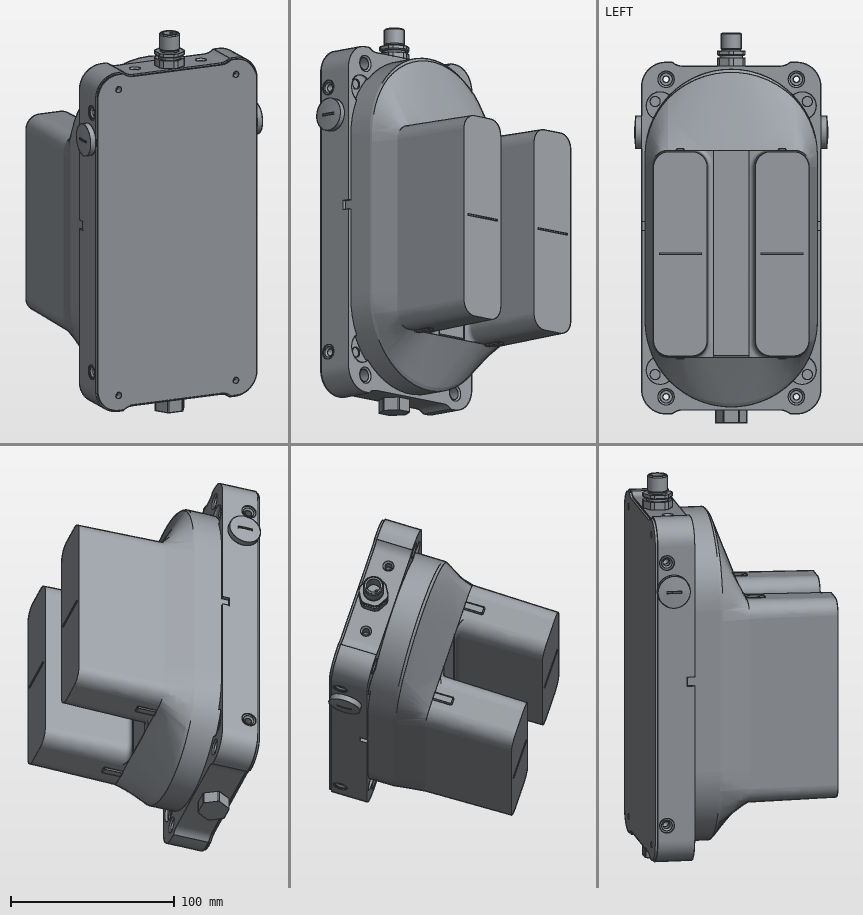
import cadquery as cq
import math


PLATE_FRONT = 24.5
PLATE_MID_Z = -6.2
PLATE_HALF_W = 55.0
PLATE_HALF_H = 108.0
LIP_DEPTH = 1.5
LIP_INSET = 1.0
EAR_RADIUS = 15.0
EAR_RISE = 2.5
EAR_HOLLOW_RADIUS = 9.5
EAR_HOLLOW_END = 30.0
EDGE_HALF_H = PLATE_HALF_H - EAR_RISE

SEAT_DEPTH = 4.5

MOUNT_Y = PLATE_HALF_W - EAR_RADIUS
MOUNT_HALF_PITCH = 97.4
MOUNT_RIM_R = 5.0
MOUNT_RIM_DEPTH = 1.0
MOUNT_BORE_R = 3.8
MOUNT_BORE_DEPTH = 19.1
MOUNT_HOLE_R = 2.0

POCKET_Y = 43.5
POCKET_HALF_PITCH = 81.0
POCKET_R = 8.5
POCKET_DEPTH = 1.5
POCKET_ROUND = 0.7
POCKET_HOLE_Y = 46.7
POCKET_HOLE_HALF_PITCH = 83.7
POCKET_HOLE_R = 3.0
POCKET_HOLE_DEPTH = 1.0

PRY_SLOT_Z = 1.2
PRY_SLOT_W = 5.7

THREAD_R = 2.2
THREAD_DEPTH = 7.2
THREAD_SINK_R = 3.3
THREAD_SINK_DEPTH = 1.2
TOP_THREAD_X = -13.5
TOP_THREAD_Y = 22.5
SIDE_THREAD_X = -7.2
SIDE_THREAD_HALF_PITCH = 82.5
SPOT_R = 4.5
SPOT_DEPTH = 0.7

FITTING_X = -11.0

SIDE_PLUG_Z = 58.5
SIDE_PLUG_R = 10.0
SIDE_PLUG_RIM_Y = 58.5
OVERALL_WIDTH = 119.0
SIDE_PLUG_TOP_Y = OVERALL_WIDTH / 2
COIN_SLOT_LENGTH = 9.0
COIN_SLOT_W = 1.2
COIN_SLOT_DEPTH = 1.2

BOTTOM_Z = -119.6
BOTTOM_PLUG_FLATS = 17.0
BOTTOM_PLUG_ROUND_R = 9.5

TOP_Z = 119.6
NUT_FLATS = 17.0
NUT_ROUND_R = 9.0
NUT_TOP_Z = 104.0
FLANGE_BOTTOM_Z = 105.7
FLANGE_TOP_Z = 108.4
FLANGE_CHAMFER = 0.7
NECK_R = 7.0
GROOVE_R = 5.7
BARREL_BOTTOM_Z = 110.0
BARREL_R = 6.2
BARREL_CHAMFER = 0.7
SOCKET_R = 4.3
SOCKET_DEPTH = 9.5
KEY_WIDTH = 1.5
KEY_HEIGHT = 1.2
KEY_ANGLE = 135

DOME_RADIUS = 52.9
DOME_HALF_STRAIGHT = 50.7
SHOULDER_BACK = 40.7
SHOULDER_FRONT = 42.3
SHOULDER_END_INSET = 2.0
SHOULDER_SIDE_INSET = 0.2
FORK_ROOT = 59.8
FORK_TIP = 115.0
FORK_TOP_Z = 47.5
FORK_BOTTOM_Z = -79.5
FORK_OUTER_Y = 48.5
FORK_INNER_Y = 13.9
FORK_CORNER_R = 10.0
FORK_TAPER = 1.0
FOOT_ROUND = 2.9
FOOT_SLAB_MARGIN = 2 * FOOT_ROUND
RECESS_DEPTH = 0.7
RECESS_MARGIN = 0.2
RECESS_SLOPE = 1.0
FORK_MID_Y = (FORK_OUTER_Y + FORK_INNER_Y) / 2
FORK_MID_Z = (FORK_TOP_Z + FORK_BOTTOM_Z) / 2
FORK_WIDTH = FORK_OUTER_Y - FORK_INNER_Y
FORK_HEIGHT = FORK_TOP_Z - FORK_BOTTOM_Z

MARK_LENGTH = 25.8
MARK_WIDTH = 1.0
MARK_HEIGHT = 0.5

LUG_LENGTH = 12.5
LUG_WIDTH = 5.3
LUG_HEIGHT = 1.0
LUG_CHAMFER = 0.7

ARC_MID = math.sqrt(0.5)


def plane_at(depth, mid_z=PLATE_MID_Z):
    """YZ workplane at a distance in front of the back face, with its normal toward the back."""
    return cq.Workplane("YZ", origin=(-depth, 0, mid_z))


def four_points(y, half_pitch):
    return [(sy * y, sz * half_pitch) for sy in (-1, 1) for sz in (-1, 1)]


def turned(profile):
    """Solid of revolution about local Z from (radius, height) points."""
    return cq.Workplane("XZ").polyline(profile).close().revolve(360, (0, 0), (0, 1)).val()


def turned_at(workplane, points, profile):
    solid = turned(profile)
    return workplane.pushPoints(points).eachpoint(lambda place: solid.moved(place), True)


def dome_outline(depth):
    """Upright slot shape shared by the wall of the cover and its seat in the base."""
    return plane_at(depth).slot2D(2 * (DOME_HALF_STRAIGHT + DOME_RADIUS), 2 * DOME_RADIUS, 90)


def plate_outline(depth):
    ear_z = PLATE_HALF_H - EAR_RADIUS
    hollow_angle = math.acos(1 - EAR_RISE / EAR_HOLLOW_RADIUS)

    def hollow(angle):
        y = EAR_HOLLOW_END + EAR_HOLLOW_RADIUS * math.sin(angle)
        z = EDGE_HALF_H + EAR_HOLLOW_RADIUS * (1 - math.cos(angle))
        return (y, z)

    ear_middle = (MOUNT_Y + EAR_RADIUS * ARC_MID, ear_z + EAR_RADIUS * ARC_MID)
    return (
        plane_at(depth)
        .moveTo(PLATE_HALF_W, 0)
        .lineTo(PLATE_HALF_W, ear_z)
        .threePointArc(ear_middle, (MOUNT_Y, PLATE_HALF_H))
        .lineTo(*hollow(hollow_angle))
        .threePointArc(hollow(hollow_angle / 2), hollow(0))
        .lineTo(0, EDGE_HALF_H)
        .mirrorX()
        .mirrorY()
    )


def plate():
    body = plate_outline(PLATE_FRONT).extrude(PLATE_FRONT - LIP_DEPTH)
    lip = plate_outline(LIP_DEPTH).offset2D(-LIP_INSET).extrude(LIP_DEPTH)
    return body.union(lip)


def mount_holes():
    """Stepped through holes in the ears, with a countersunk rim."""
    profile = [
        (0, 0),
        (MOUNT_RIM_R, 0),
        (MOUNT_BORE_R, MOUNT_RIM_DEPTH),
        (MOUNT_BORE_R, MOUNT_BORE_DEPTH),
        (MOUNT_HOLE_R, MOUNT_BORE_DEPTH),
        (MOUNT_HOLE_R, PLATE_FRONT),
        (0, PLATE_FRONT),
    ]
    return turned_at(plane_at(PLATE_FRONT), four_points(MOUNT_Y, MOUNT_HALF_PITCH), profile)


def corner_pockets():
    """Shallow round pockets beside the cover, each with a blind hole in its floor."""
    pockets = (
        plane_at(PLATE_FRONT)
        .pushPoints(four_points(POCKET_Y, POCKET_HALF_PITCH))
        .circle(POCKET_R)
        .extrude(POCKET_DEPTH)
        .faces(">X")
        .edges()
        .fillet(POCKET_ROUND)
    )
    holes = (
        plane_at(PLATE_FRONT)
        .pushPoints(four_points(POCKET_HOLE_Y, POCKET_HOLE_HALF_PITCH))
        .circle(POCKET_HOLE_R)
        .extrude(POCKET_DEPTH + POCKET_HOLE_DEPTH)
    )
    return pockets.union(holes)


def cover_seat():
    """Recess in the front face that takes the foot of the cover."""
    return dome_outline(PLATE_FRONT).extrude(SEAT_DEPTH)


def pry_slots():
    """Notches for lifting the cover, from each side edge of the plate up to the cover."""
    width = PLATE_HALF_W - DOME_RADIUS
    middle_y = PLATE_HALF_W - width / 2
    return (
        plane_at(PLATE_FRONT, PRY_SLOT_Z)
        .pushPoints([(-middle_y, 0), (middle_y, 0)])
        .rect(width, PRY_SLOT_W)
        .extrude(SEAT_DEPTH)
    )


def thread_profile(start):
    """Countersunk blind hole with a conical end, beginning at a depth below the surface."""
    sink_end = start + THREAD_SINK_DEPTH
    return [
        (THREAD_SINK_R, start),
        (THREAD_R, sink_end),
        (THREAD_R, THREAD_DEPTH),
        (0, THREAD_DEPTH + THREAD_R),
    ]


def top_threads():
    surface = cq.Plane((TOP_THREAD_X, 0, PLATE_MID_Z + EDGE_HALF_H), xDir=(0, 1, 0), normal=(0, 0, -1))
    points = [(-TOP_THREAD_Y, 0), (TOP_THREAD_Y, 0)]
    return turned_at(cq.Workplane(surface), points, [(0, 0)] + thread_profile(0))


def side_threads(side):
    surface = cq.Plane(
        (SIDE_THREAD_X, side * PLATE_HALF_W, PLATE_MID_Z), xDir=(0, 0, 1), normal=(0, -side, 0)
    )
    points = [(-SIDE_THREAD_HALF_PITCH, 0), (SIDE_THREAD_HALF_PITCH, 0)]
    profile = [(0, 0), (SPOT_R, 0), (SPOT_R, SPOT_DEPTH)] + thread_profile(SPOT_DEPTH)
    return turned_at(cq.Workplane(surface), points, profile)


def side_plug(side):
    """Low round plug with a domed, slotted head."""
    seat = cq.Plane(
        (FITTING_X, side * PLATE_HALF_W, SIDE_PLUG_Z), xDir=(1, 0, 0), normal=(0, side, 0)
    )
    rim_height = SIDE_PLUG_RIM_Y - PLATE_HALF_W
    height = SIDE_PLUG_TOP_Y - PLATE_HALF_W
    dome_radius = (SIDE_PLUG_R**2 + (height - rim_height) ** 2) / (2 * (height - rim_height))
    dome = cq.Workplane(seat).workplane(offset=height - dome_radius).sphere(dome_radius)
    slot = (
        cq.Workplane(seat)
        .workplane(offset=height - COIN_SLOT_DEPTH)
        .rect(COIN_SLOT_LENGTH, COIN_SLOT_W)
        .extrude(COIN_SLOT_DEPTH)
    )
    return cq.Workplane(seat).circle(SIDE_PLUG_R).extrude(height).intersect(dome).cut(slot)


def rounded_hexagon(z, flats, round_radius, height, across_y):
    """Hexagon prism with its corners turned down; its flats face along Y or along X."""
    prism = cq.Workplane("XY").polygon(6, flats / math.cos(math.pi / 6)).extrude(height)
    if not across_y:
        prism = prism.rotate((0, 0, 0), (0, 0, 1), 90)
    cylinder = cq.Workplane("XY").circle(round_radius).extrude(height)
    return prism.intersect(cylinder).translate((FITTING_X, 0, z))


def bottom_plug():
    height = PLATE_MID_Z - EDGE_HALF_H - BOTTOM_Z
    return rounded_hexagon(BOTTOM_Z, BOTTOM_PLUG_FLATS, BOTTOM_PLUG_ROUND_R, height, False)


def connector():
    """Round socket on a hexagonal nut, with a hexagonal flange between them."""
    seat_z = PLATE_MID_Z + EDGE_HALF_H
    nut = rounded_hexagon(seat_z, NUT_FLATS, NUT_ROUND_R, NUT_TOP_Z - seat_z, True)
    flange = rounded_hexagon(
        FLANGE_BOTTOM_Z, NUT_FLATS, NUT_ROUND_R, FLANGE_TOP_Z - FLANGE_BOTTOM_Z, True
    )
    flange = flange.faces("<Z").edges().chamfer(FLANGE_CHAMFER)
    stem = cq.Workplane(
        turned(
            [
                (0, seat_z),
                (NECK_R, seat_z),
                (NECK_R, FLANGE_BOTTOM_Z),
                (GROOVE_R, FLANGE_BOTTOM_Z),
                (GROOVE_R, BARREL_BOTTOM_Z - BARREL_CHAMFER),
                (BARREL_R, BARREL_BOTTOM_Z),
                (BARREL_R, TOP_Z - BARREL_CHAMFER),
                (BARREL_R - BARREL_CHAMFER, TOP_Z),
                (0, TOP_Z),
            ]
        )
    ).translate((FITTING_X, 0, 0))
    socket = (
        cq.Workplane("XY", origin=(FITTING_X, 0, TOP_Z - SOCKET_DEPTH))
        .circle(SOCKET_R)
        .extrude(SOCKET_DEPTH)
    )
    key = (
        cq.Workplane("XY", origin=(FITTING_X, 0, TOP_Z - SOCKET_DEPTH))
        .transformed(rotate=(0, 0, KEY_ANGLE))
        .center(SOCKET_R, 0)
        .rect(2 * KEY_HEIGHT, KEY_WIDTH)
        .extrude(SOCKET_DEPTH - BARREL_CHAMFER)
    )
    return nut.union(stem).union(flange).cut(socket.cut(key))


def base_housing():
    body = plate().cut(cover_seat()).cut(pry_slots()).cut(corner_pockets())
    body = body.cut(mount_holes()).cut(top_threads())
    for side in (-1, 1):
        body = body.cut(side_threads(side)).union(side_plug(side))
    return body.union(bottom_plug()).union(connector())


def half_width(z, top, bottom, width, radius):
    """Half width at height z of an upright shape with rounded corners."""
    into_corner = max(z - top + radius, bottom + radius - z, 0)
    return width - radius + math.sqrt(radius**2 - into_corner**2)


def split_outline(depth, top, bottom, width, radius):
    """Rounded outline divided at fixed places, so that two outlines can be ruled part by part.

    It is divided at the Y of the corners of the fork block, and at the heights where the
    straight sides of either outline end.
    """
    corner_y = FORK_OUTER_Y - FORK_CORNER_R
    end_drop = radius - math.sqrt(radius**2 - max(corner_y - width + radius, 0) ** 2)
    rows = [
        top - end_drop,
        PLATE_MID_Z + DOME_HALF_STRAIGHT,
        FORK_TOP_Z - FORK_CORNER_R,
        PLATE_MID_Z - DOME_HALF_STRAIGHT,
        FORK_BOTTOM_Z + FORK_CORNER_R,
        bottom + end_drop,
    ]

    def edge_point(side, z):
        return (side * half_width(z, top, bottom, width, radius), z)

    outline = plane_at(depth, 0).moveTo(*edge_point(1, rows[0]))
    for side, heights, end in ((1, rows, bottom), (-1, rows[::-1], top)):
        for z0, z1 in zip(heights, heights[1:]):
            start, middle, finish = (edge_point(side, z) for z in (z0, (z0 + z1) / 2, z1))
            if math.isclose(start[0], finish[0]):
                outline = outline.lineTo(*finish)
            else:
                outline = outline.threePointArc(middle, finish)
        across = edge_point(-side, heights[-1])
        if end_drop > 0:
            outline = outline.threePointArc((0, end), across)
        else:
            outline = outline.lineTo(*across)
    return outline.wire().val()


def dome_section(depth, inset, side_inset):
    radius = DOME_RADIUS - inset
    reach = DOME_HALF_STRAIGHT + radius
    return split_outline(
        depth, PLATE_MID_Z + reach, PLATE_MID_Z - reach, DOME_RADIUS - side_inset, radius
    )


def dome():
    """Straight wall with ruled faces sloping up from it to the outline around both forks.

    The shoulder between wall and slope is bevelled, widest at the two ends of the dome.
    """
    seat_floor = PLATE_FRONT - SEAT_DEPTH
    wall = dome_outline(SHOULDER_BACK).extrude(SHOULDER_BACK - seat_floor)
    sections = [
        dome_section(SHOULDER_BACK, 0, 0),
        dome_section(SHOULDER_FRONT, SHOULDER_END_INSET, SHOULDER_SIDE_INSET),
        split_outline(FORK_ROOT, FORK_TOP_Z, FORK_BOTTOM_Z, FORK_OUTER_Y, FORK_CORNER_R),
    ]
    return wall.union(cq.Workplane(cq.Solid.makeLoft(sections, True)))


def blade(mid_y, width):
    """Tapered bar with the height and the rounded corners of a fork."""
    return (
        plane_at(FORK_ROOT, FORK_MID_Z)
        .center(mid_y, 0)
        .sketch()
        .rect(width, FORK_HEIGHT)
        .vertices()
        .fillet(FORK_CORNER_R)
        .finalize()
        .extrude(FORK_ROOT - FORK_TIP, taper=FORK_TAPER)
    )


def fork(side):
    """Tapered prong with a rounded foot toward the other prong."""
    slab = (
        plane_at(FORK_ROOT, FORK_MID_Z)
        .center(side * FORK_MID_Y, 0)
        .rect(FORK_WIDTH + 2 * FOOT_SLAB_MARGIN, FORK_HEIGHT + 2 * FOOT_SLAB_MARGIN)
        .extrude(FOOT_ROUND)
    )
    footed = slab.union(blade(side * FORK_MID_Y, FORK_WIDTH))
    slab_face = footed.faces(
        cq.NearestToPointSelector((-FORK_ROOT, side * FORK_MID_Y, FORK_MID_Z))
    )
    foot_edges = slab_face.val().innerWires()[0].Edges()
    footed = footed.newObject(foot_edges).fillet(FOOT_ROUND)
    return footed.intersect(blade(0, 2 * FORK_OUTER_Y))


def channel_recess():
    """Shallow recess in the floor between the fork feet, with a sloped lower end."""
    lower_end = FORK_BOTTOM_Z + RECESS_MARGIN
    half_width_y = FORK_INNER_Y - FOOT_ROUND
    profile = [
        (-FORK_ROOT, FORK_TOP_Z - RECESS_MARGIN),
        (-FORK_ROOT + RECESS_DEPTH, FORK_TOP_Z - RECESS_MARGIN),
        (-FORK_ROOT + RECESS_DEPTH, lower_end + RECESS_SLOPE),
        (-FORK_ROOT, lower_end),
    ]
    return cq.Workplane("XZ").polyline(profile).close().extrude(half_width_y, both=True)


def tip_mark(side):
    return (
        plane_at(FORK_TIP, FORK_MID_Z)
        .center(side * FORK_MID_Y, 0)
        .rect(MARK_LENGTH, MARK_WIDTH)
        .extrude(-MARK_HEIGHT)
    )


def root_lugs(side):
    """Guides that stand out above and below the fork at its root, with chamfered edges."""
    lugs = (
        plane_at(FORK_ROOT, FORK_MID_Z)
        .center(side * FORK_MID_Y, 0)
        .rect(LUG_WIDTH, FORK_HEIGHT + 2 * LUG_HEIGHT)
        .extrude(-LUG_LENGTH)
    )
    return lugs.faces("<X or <Z or >Z").edges().edges("not(>X)").chamfer(LUG_CHAMFER)


def domed_cover():
    body = dome().cut(channel_recess())
    for side in (-1, 1):
        body = body.union(fork(side)).union(tip_mark(side)).union(root_lugs(side))
    return body


housing = base_housing()
cover = domed_cover()
result = cq.Compound.makeCompound([housing.solids().val(), cover.solids().val()])